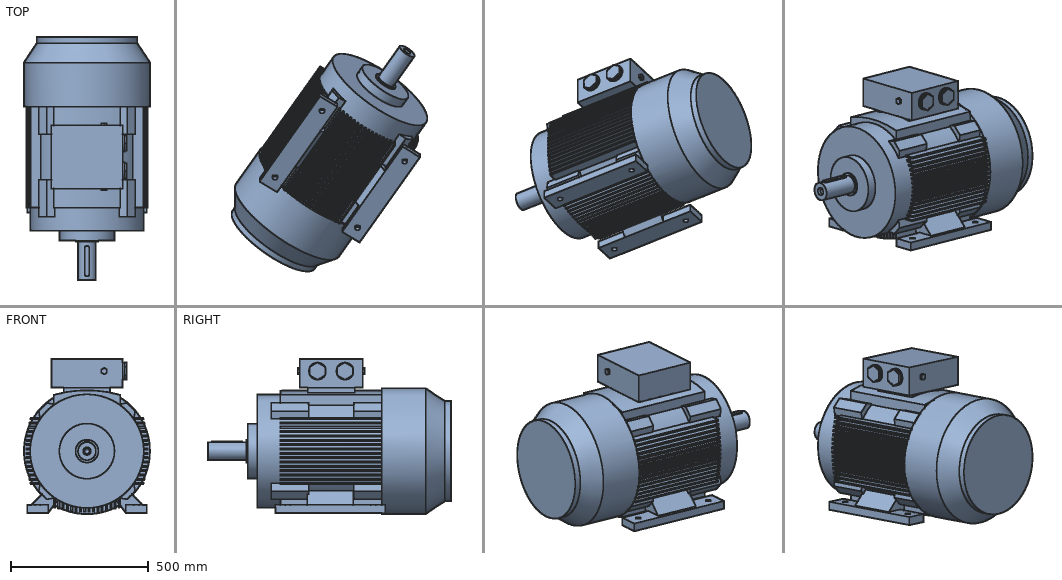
import cadquery as cq
import math

TOTAL_LENGTH = 883.0

SHAFT_DIAMETER = 65.0
COLLAR_DIAMETER = 83.0
COLLAR_FRONT_Y = 139.5
KEY_WIDTH = 18.0
KEY_LENGTH = 110.0
KEY_START_Y = 14.0
KEY_TOP_Z = 36.0
CENTRE_HOLE_DIAMETER = 19.0
CENTRE_HOLE_MOUTH_DIAMETER = 28.0
CENTRE_HOLE_MOUTH_DEPTH = 8.0
CENTRE_HOLE_TIP_SLOPE = 30
CENTRE_HOLE_DEPTH = 53.0

HUB_DIAMETER = 200.0
HUB_FRONT_Y = 144.0
SHIELD_FRONT_Y = 179.0
CORE_DIAMETER = 412.0

COWL_DIAMETER = 458.0
COWL_FRONT_Y = 630.5
COWL_CONE_Y = 790.0
COWL_RIM_Y = 860.0
COWL_RIM_DIAMETER = 366.0

FINS_FRONT_Y = 263.0
FINS_LENGTH = COWL_FRONT_Y - FINS_FRONT_Y
BANK_WIDTH = 242.0
BANK_REACH = 221.0
BANK_BULGE = 17.0
FIN_COUNT = 16
FIN_THICKNESS = 5.7
FIN_PITCH = (BANK_WIDTH - FIN_THICKNESS) / (FIN_COUNT - 1)

PAD_FRONT_Y = 230.0
PAD_GAP_FRONT_Y = 366.0
PAD_GAP_REAR_Y = 530.0
PAD_OUTER_NEAR = 146.0
PAD_OUTER_FAR = 175.0
PAD_INNER_NEAR = 115.0
PAD_INNER_FAR = 169.5

FOOT_BOTTOM_Z = -225.0
FOOT_THICKNESS = 30.0
FOOT_INNER_X = 141.0
FOOT_OUTER_X = 217.0
FOOT_FRONT_Y = 245.5
FOOT_LENGTH = 399.0
FOOT_HOLE_DIAMETER = 18.5
FOOT_HOLE_SPACING = 311.0
WEB_FRONT_Y = 360.0
WEB_LENGTH = 168.0
WEB_OUTER_X = 202.0
WEB_OUTER_ROOT = (150.0, -143.0)
WEB_INNER_ROOT = (99.0, -168.0)

BOX_WIDTH = 259.0
BOX_LENGTH = 230.0
BOX_FRONT_Y = 333.0
BOX_BOTTOM_Z = 230.5
BOX_TOP_Z = 335.0
NECK_WIDTH = 169.0
NECK_LENGTH = 171.0
BOX_CENTRE_Y = BOX_FRONT_Y + BOX_LENGTH / 2
FITTING_Z = 290.5

GLAND_DIAMETER = 62.0
GLAND_BASE_LENGTH = 7.0
GLAND_NUT_LENGTH = 9.0
GLAND_NUT_CORNERS = 64.0
GLAND_SPACING = 100.0

SCREW_X = 63.0
SCREW_CORNERS = 23.0
SCREW_LENGTH = 7.0


def block(x_start, x_end, y_start, y_end, z_start, z_end):
    size = (x_end - x_start, y_end - y_start, z_end - z_start)
    return cq.Workplane("XY").box(*size, centered=False).translate((x_start, y_start, z_start))


def section_at(y):
    """Workplane across the axis with local axes X and Z; a negative extrusion runs towards +Y."""
    return cq.Workplane(cq.Plane(origin=(0, y, 0), xDir=(1, 0, 0), normal=(0, -1, 0)))


def cylinder(diameter, y_start, y_end):
    return section_at(y_start).circle(diameter / 2).extrude(y_start - y_end)


def revolved(outline):
    """Solid of revolution about the shaft axis from (radius, y) points."""
    return cq.Workplane("XY").polyline(outline).close().revolve(360, (0, 0, 0), (0, 1, 0))


def bulged_bank():
    """Prism on the +Z side of the axis with straight sides and a bulged top."""
    half = BANK_WIDTH / 2
    shoulder = BANK_REACH - BANK_BULGE
    return (
        section_at(FINS_FRONT_Y)
        .moveTo(-half, 0)
        .lineTo(-half, shoulder)
        .threePointArc((0, BANK_REACH), (half, shoulder))
        .lineTo(half, 0)
        .close()
        .extrude(-FINS_LENGTH)
    )


def fin_bank(angle):
    """Row of fins on the +Z side, turned about the shaft axis."""
    blades = cq.Workplane("XY")
    for i in range(FIN_COUNT):
        start = i * FIN_PITCH - BANK_WIDTH / 2
        blades = blades.add(block(start, start + FIN_THICKNESS, FINS_FRONT_Y, COWL_FRONT_Y, 0, BANK_REACH))
    fins = blades.combine().intersect(bulged_bank())
    return fins.rotate((0, 0, 0), (0, 1, 0), angle)


def corner_pad(side_x, side_z):
    """Two pads in line on one diagonal of the core."""
    outline = [
        (PAD_INNER_NEAR, PAD_INNER_NEAR),
        (PAD_INNER_NEAR, PAD_INNER_FAR),
        (PAD_OUTER_NEAR, PAD_OUTER_FAR),
        (PAD_OUTER_FAR, PAD_OUTER_NEAR),
        (PAD_INNER_FAR, PAD_INNER_NEAR),
    ]
    points = [(side_x * x, side_z * z) for x, z in outline]
    front = section_at(PAD_FRONT_Y).polyline(points).close().extrude(PAD_FRONT_Y - PAD_GAP_FRONT_Y)
    rear = section_at(PAD_GAP_REAR_Y).polyline(points).close().extrude(PAD_GAP_REAR_Y - COWL_FRONT_Y)
    return front.union(rear)


def foot(side):
    """Drilled foot bar with the sloped web that carries it; side is -1 or 1 along X."""
    foot_top = FOOT_BOTTOM_Z + FOOT_THICKNESS
    middle_x = (FOOT_INNER_X + FOOT_OUTER_X) / 2
    middle_y = FOOT_FRONT_Y + FOOT_LENGTH / 2
    bar = block(
        FOOT_INNER_X, FOOT_OUTER_X,
        FOOT_FRONT_Y, FOOT_FRONT_Y + FOOT_LENGTH,
        FOOT_BOTTOM_Z, foot_top,
    )
    web = (
        section_at(WEB_FRONT_Y)
        .polyline([(FOOT_INNER_X, FOOT_BOTTOM_Z), (WEB_OUTER_X, foot_top), WEB_OUTER_ROOT, WEB_INNER_ROOT])
        .close()
        .extrude(-WEB_LENGTH)
    )
    holes = (
        cq.Workplane("XY", origin=(middle_x, middle_y, FOOT_BOTTOM_Z))
        .pushPoints([(0, -FOOT_HOLE_SPACING / 2), (0, FOOT_HOLE_SPACING / 2)])
        .circle(FOOT_HOLE_DIAMETER / 2)
        .extrude(FOOT_THICKNESS)
    )
    right_foot = bar.union(web).cut(holes)
    return right_foot if side > 0 else right_foot.mirror("YZ")


def fan_cowl():
    outline = [
        (0, COWL_FRONT_Y),
        (COWL_DIAMETER / 2, COWL_FRONT_Y),
        (COWL_DIAMETER / 2, COWL_CONE_Y),
        (COWL_RIM_DIAMETER / 2, COWL_RIM_Y),
        (COWL_RIM_DIAMETER / 2, TOTAL_LENGTH),
        (0, TOTAL_LENGTH),
    ]
    return revolved(outline)


def gland(y):
    """Round base with a hexagonal nut on the +X side of the box."""
    base = (
        cq.Workplane("YZ", origin=(BOX_WIDTH / 2, y, FITTING_Z))
        .circle(GLAND_DIAMETER / 2)
        .extrude(GLAND_BASE_LENGTH)
    )
    nut = (
        cq.Workplane("YZ", origin=(BOX_WIDTH / 2 + GLAND_BASE_LENGTH, y, FITTING_Z))
        .transformed(rotate=(0, 0, 90))
        .polygon(6, GLAND_NUT_CORNERS)
        .extrude(GLAND_NUT_LENGTH)
    )
    return base.union(nut)


def earth_screws():
    """Two hexagonal heads in line, one on each end of the box."""
    return (
        section_at(BOX_FRONT_Y - SCREW_LENGTH)
        .center(SCREW_X, FITTING_Z)
        .transformed(rotate=(0, 0, 90))
        .polygon(6, SCREW_CORNERS)
        .extrude(-(BOX_LENGTH + 2 * SCREW_LENGTH))
    )


def terminal_box():
    box = block(
        -BOX_WIDTH / 2, BOX_WIDTH / 2,
        BOX_FRONT_Y, BOX_FRONT_Y + BOX_LENGTH,
        BOX_BOTTOM_Z, BOX_TOP_Z,
    )
    neck = block(
        -NECK_WIDTH / 2, NECK_WIDTH / 2,
        BOX_CENTRE_Y - NECK_LENGTH / 2, BOX_CENTRE_Y + NECK_LENGTH / 2,
        0, BOX_BOTTOM_Z,
    )
    box = box.union(neck).union(earth_screws())
    for offset in (-GLAND_SPACING / 2, GLAND_SPACING / 2):
        box = box.union(gland(BOX_CENTRE_Y + offset))
    return box


def make_motor():
    motor = cylinder(CORE_DIAMETER, SHIELD_FRONT_Y, COWL_FRONT_Y)
    motor = motor.union(cylinder(HUB_DIAMETER, HUB_FRONT_Y, SHIELD_FRONT_Y))
    motor = motor.union(fan_cowl()).union(bulged_bank())
    for angle in (90, 180, 270):
        motor = motor.union(fin_bank(angle))
    for side_x in (-1, 1):
        for side_z in (-1, 1):
            motor = motor.union(corner_pad(side_x, side_z))
        motor = motor.union(foot(side_x))
    return motor.union(terminal_box())


def centre_hole():
    """Bore with a countersunk mouth and a conical bottom."""
    bore_radius = CENTRE_HOLE_DIAMETER / 2
    mouth_radius = CENTRE_HOLE_MOUTH_DIAMETER / 2
    outline = [
        (0, 0),
        (mouth_radius, 0),
        (bore_radius, CENTRE_HOLE_MOUTH_DEPTH),
        (bore_radius, CENTRE_HOLE_DEPTH),
        (0, CENTRE_HOLE_DEPTH + bore_radius * math.tan(math.radians(CENTRE_HOLE_TIP_SLOPE))),
    ]
    return revolved(outline)


def make_shaft():
    """Shaft end with its collar and key, seated on the front face of the hub."""
    shaft = cylinder(SHAFT_DIAMETER, 0, HUB_FRONT_Y)
    shaft = shaft.union(cylinder(COLLAR_DIAMETER, COLLAR_FRONT_Y, HUB_FRONT_Y))
    key = (
        cq.Workplane("XY", origin=(0, KEY_START_Y + KEY_LENGTH / 2, 0))
        .slot2D(KEY_LENGTH, KEY_WIDTH, 90)
        .extrude(KEY_TOP_Z)
    )
    return shaft.union(key).cut(centre_hole())


motor = make_motor()
shaft = make_shaft()
result = cq.Compound.makeCompound([motor.val(), shaft.val()])